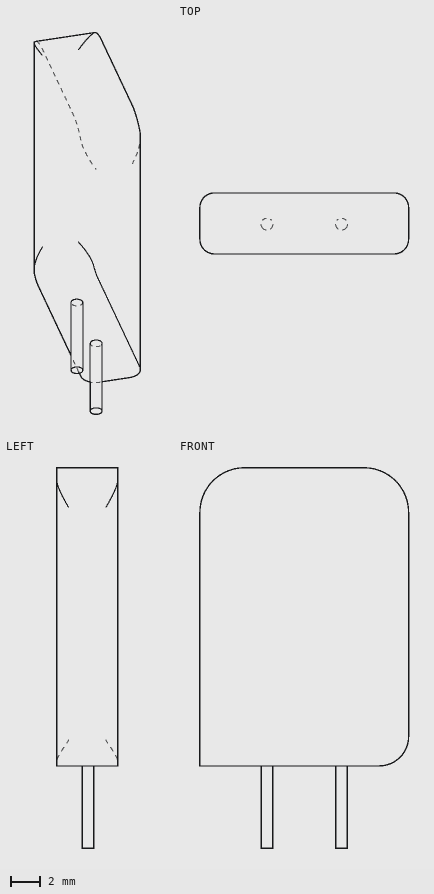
import cadquery as cq

total_height = 25.5
body_width = 14.0
body_depth = 4.1
pin_length = 5.5
body_height = total_height - pin_length

top_radius = 3.0
bottom_radius = 2.0
side_edge_radius = 1.0

pin_diameter = 0.8
pin_spacing = 5.0
pin_offset_y = -0.05


def make_body():
    """Upright slab with rounded vertical edges; the lower -X corner of its face outline stays square."""
    plan = (
        cq.Workplane("XY")
        .box(body_width, body_depth, body_height, centered=(True, True, False))
        .edges("|Z")
        .fillet(side_edge_radius)
    )
    outline = (
        cq.Workplane("XY")
        .box(body_width, body_depth, body_height, centered=(True, True, False))
        .edges("|Y and >Z")
        .fillet(top_radius)
        .edges("|Y and <Z and >X")
        .fillet(bottom_radius)
    )
    return plan.intersect(outline)


def make_pins():
    """Two round leads hanging below the body."""
    return (
        cq.Workplane("XY")
        .pushPoints([(-pin_spacing / 2, pin_offset_y), (pin_spacing / 2, pin_offset_y)])
        .circle(pin_diameter / 2)
        .extrude(-pin_length)
    )


result = make_body().union(make_pins())